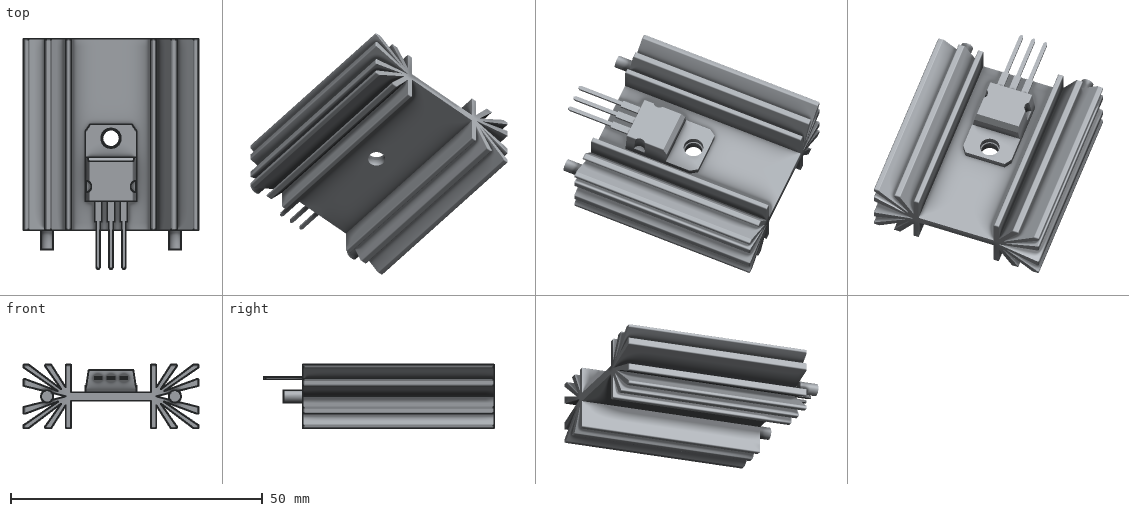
import cadquery as cq

overall_length = 45.81
sink_width = 34.83
sink_height = 12.7
sink_length = 38.1
web_thickness = 1.74
upright_fin_inner_x = 7.9
upright_fin_thickness = 1.1
fin_tip_radius = 0.25
sink_hole_diameter = 3.4

half_width = sink_width / 2
half_height = sink_height / 2
floor_z = web_thickness / 2
upright_fin_outer_x = upright_fin_inner_x + upright_fin_thickness

upright_gap_root = (upright_fin_outer_x, 1.8)
diagonal_gap_root = (9.9, 1.45)
shallow_gap_root = (10.55, 1.05)
side_gap_root = (upright_fin_outer_x, 0)

steep_fin_tip_start_x = 11.9
steep_fin_tip_end_x = 13.35
diagonal_fin_tip_start_x = 16.4
diagonal_fin_tip_end_z = 5.75
shallow_fin_tip_top_z = 3.6
shallow_fin_tip_bottom_z = 2.08

pin_diameter = 2.45
pin_length = 3.81
pin_x = 12.7

tab_width = 10.16
tab_thickness = 1.25
tab_back_y = 21.1
tab_corner_x = 0.95
tab_corner_y = 1.4
tab_hole_diameter = 3.9
hole_y = 18.3

case_front_y = 5.78
case_back_y = 14.5
case_height = 4.4
case_base_height = 0.3
case_top_width = 8.9
case_top_radius = 0.2
case_bevel_length = 0.8
case_bevel_height = 1.1
notch_diameter = 2.36
notch_y = 8.7

lead_count = 3
lead_pitch = 2.54
lead_z = 3.63
lead_thickness = 0.5
lead_shoulder_width = 1.4
lead_shoulder_y = 1.7
lead_width = 0.8
lead_tip_y = sink_length - overall_length
lead_tip_taper_length = 0.4
lead_tip_inset = 0.25

half_tab = tab_width / 2
tab_top_z = floor_z + tab_thickness
case_top_z = floor_z + case_height


def make_pin(x):
    return cq.Workplane("XZ").center(x, 0).circle(pin_diameter / 2).extrude(pin_length)


def make_heatsink():
    quadrant = [
        (upright_fin_inner_x, floor_z),
        (upright_fin_inner_x, half_height),
        (upright_fin_outer_x, half_height),
        upright_gap_root,
        (steep_fin_tip_start_x, half_height),
        (steep_fin_tip_end_x, half_height),
        diagonal_gap_root,
        (diagonal_fin_tip_start_x, half_height),
        (half_width, half_height),
        (half_width, diagonal_fin_tip_end_z),
        shallow_gap_root,
        (half_width, shallow_fin_tip_top_z),
        (half_width, shallow_fin_tip_bottom_z),
    ]
    lower_quadrant = [(x, -z) for x, z in reversed(quadrant)]
    right_half = quadrant + [side_gap_root] + lower_quadrant
    left_half = [(-x, -z) for x, z in right_half]
    sink = cq.Workplane("XZ").polyline(right_half + left_half).close().extrude(-sink_length)

    sink = sink.faces("<X or >X or <Z or >Z").edges().fillet(fin_tip_radius)

    hole = (
        cq.Workplane("XY", origin=(0, hole_y, -floor_z))
        .circle(sink_hole_diameter / 2)
        .extrude(web_thickness)
    )
    sink = sink.cut(hole)

    for x in (-pin_x, pin_x):
        sink = sink.union(make_pin(x))
    return sink


def make_tab():
    corner_y = tab_back_y - tab_corner_y
    corner_x = half_tab - tab_corner_x
    outline = [
        (-half_tab, case_back_y),
        (-half_tab, corner_y),
        (-corner_x, tab_back_y),
        (corner_x, tab_back_y),
        (half_tab, corner_y),
        (half_tab, case_back_y),
    ]
    floor = cq.Workplane("XY", origin=(0, 0, floor_z))
    tab = floor.polyline(outline).close().extrude(tab_thickness)
    hole = floor.center(0, hole_y).circle(tab_hole_diameter / 2).extrude(tab_thickness)
    return tab.cut(hole)


def make_lead(x):
    half_shoulder = lead_shoulder_width / 2
    half_lead = lead_width / 2
    right_side = [
        (half_shoulder, case_front_y),
        (half_shoulder, lead_shoulder_y),
        (half_lead, lead_shoulder_y),
        (half_lead, lead_tip_y + lead_tip_taper_length),
        (half_lead - lead_tip_inset, lead_tip_y),
    ]
    left_side = [(-dx, y) for dx, y in reversed(right_side)]
    return (
        cq.Workplane("XY", origin=(x, 0, lead_z - lead_thickness / 2))
        .polyline(right_side + left_side)
        .close()
        .extrude(lead_thickness)
    )


def make_case():
    half_top = case_top_width / 2
    base_top_z = floor_z + case_base_height
    section = [
        (-half_tab, floor_z),
        (half_tab, floor_z),
        (half_tab, base_top_z),
        (half_top, case_top_z),
        (-half_top, case_top_z),
        (-half_tab, base_top_z),
    ]
    case = (
        cq.Workplane("XZ", origin=(0, case_front_y, 0))
        .polyline(section)
        .close()
        .extrude(case_front_y - case_back_y)
    )
    case = case.faces(">Z").edges("|Y").fillet(case_top_radius)

    bevel_section = [
        (case_back_y, case_top_z),
        (case_back_y, case_top_z - case_bevel_height),
        (case_back_y - case_bevel_length, case_top_z),
    ]
    bevel = cq.Workplane("YZ").polyline(bevel_section).close().extrude(half_tab, both=True)

    notches = (
        cq.Workplane("XY", origin=(0, notch_y, tab_top_z))
        .pushPoints([(-half_tab, 0), (half_tab, 0)])
        .circle(notch_diameter / 2)
        .extrude(case_top_z - tab_top_z)
    )
    case = case.cut(bevel).cut(notches)

    for i in range(lead_count):
        case = case.union(make_lead((i - (lead_count - 1) / 2) * lead_pitch))
    return case


heatsink = make_heatsink().solids()
tab = make_tab().solids()
case = make_case().solids()
result = cq.Compound.makeCompound([heatsink.val(), tab.val(), case.val()])